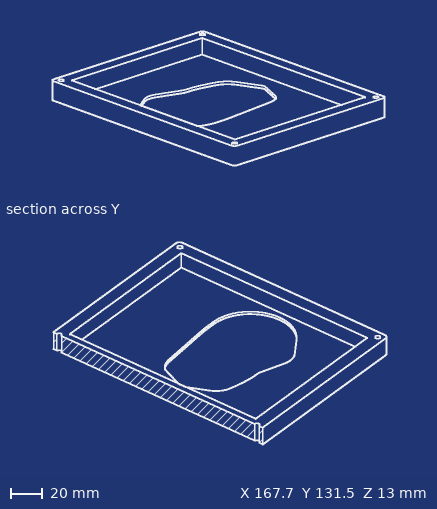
import cadquery as cq

length = 167.7
width = 131.5
height = 13.0
corner_radius = 2.7

wall = 9.4
floor = 2.0

hole_diameter = 3.4
hole_inset = wall / 2


def make_tray():
    """Rounded block with a sharp-cornered recess open at the top."""
    block = cq.Workplane("XY").box(length, width, height, centered=(True, True, False))
    block = block.edges("|Z").fillet(corner_radius)
    recess = (
        cq.Workplane("XY")
        .workplane(offset=floor)
        .rect(length - 2 * wall, width - 2 * wall)
        .extrude(height - floor)
    )
    return block.cut(recess)


def make_corner_holes():
    """Four through holes centred on the rim at its corners."""
    return (
        cq.Workplane("XY")
        .rect(length - 2 * hole_inset, width - 2 * hole_inset, forConstruction=True)
        .vertices()
        .circle(hole_diameter / 2)
        .extrude(height)
    )


def make_floor_opening():
    """Irregular opening through the floor, traced counter-clockwise from its top."""
    return (
        cq.Workplane("XY")
        .moveTo(-4.2, 44.6)
        .threePointArc((-6.0, 45.0), (-7.9, 44.5))
        .lineTo(-22.1, 38.0)
        .threePointArc((-27.7, 34.4), (-31.0, 29.4))
        .threePointArc((-33.4, 20.1), (-34.9, 10.0))
        .lineTo(-35.0, 3.4)
        .lineTo(-41.6, -15.5)
        .threePointArc((-42.1, -20.5), (-40.6, -25.5))
        .lineTo(-32.2, -37.9)
        .threePointArc((-21.8, -48.3), (-8.0, -52.0))
        .threePointArc((13.8, -42.8), (21.8, -20.1))
        .threePointArc((21.8, -15.1), (21.5, -9.5))
        .lineTo(18.3, 26.0)
        .threePointArc((17.0, 32.2), (14.1, 36.5))
        .lineTo(11.5, 37.9)
        .close()
        .extrude(floor)
    )


result = make_tray().cut(make_corner_holes()).cut(make_floor_opening())